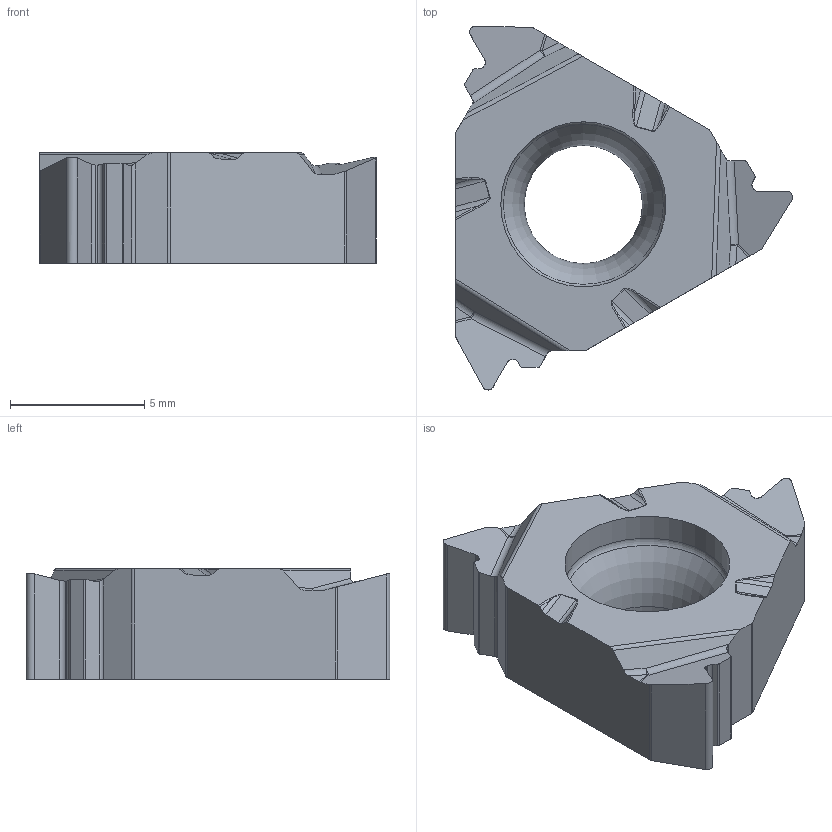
import cadquery as cq
import math

CORNERS = 3
CORNER_STEP = 360 / CORNERS
THICKNESS = 4.11
SIDE_DISTANCE = 4.7625
CONTACT = 0.001
MARGIN = 1.0

HEEL_Y = -4.93
APEX = (-3.56, -7.14)
PROFILE_ANGLE = math.radians(60)
GROOVE_Y = -5.78
CREST_Y = -6.07
CREST_LEFT_X = -2.32
CREST_RIGHT_X = -1.64
SHOULDER_Y = -5.455

TIP_RADIUS = 0.22
GROOVE_RADIUS = 0.2
CREST_RADIUS = 0.08
SHOULDER_RADIUS = 0.15
SIDE_RADIUS = 0.2

HOLE_DIAMETER = 4.4
SEAT_DIAMETER = 6.15
SEAT_ARC_RADIUS = 3.58
SEAT_DEPTH = 3.5
SEAT_BLEND = 0.42

RAKE_ANGLE = 14.5
TIP_DROP = 0.16
BREAKER_FLOOR_DEPTH = 0.82
BREAKER_FLOOR_TILT = 3.5
WALL_SLOPE = 53.0
WALL_TURN = -32.0
WALL_DISTANCE = 4.975
FOOT_FILLET = 0.3
WALL_EDGE_RADIUS = 0.2

NOTCH_DEPTH = 0.24
NOTCH_Y = 0.245
NOTCH_TURN = 15.0
NOTCH_RISE = 11.0
NOTCH_FLOOR_WIDTH = 0.85
NOTCH_WALL_ANGLE = 40.0
NOTCH_FILLET = 0.3
NOTCH_EDGE_RADIUS = 0.1


def turned(point, angle):
    """Rotate a plan point about the part axis."""
    a = math.radians(angle)
    x, y = point
    return (x * math.cos(a) - y * math.sin(a), x * math.sin(a) + y * math.cos(a))


def corner_vertices():
    """Sharp vertices of one corner with the radius wanted at each."""
    lean = 1 / math.tan(PROFILE_ANGLE)
    groove_left_x = APEX[0] + (GROOVE_Y - APEX[1]) * lean
    groove_right_x = CREST_LEFT_X - (GROOVE_Y - CREST_Y) * lean
    shoulder_x = CREST_RIGHT_X + (SHOULDER_Y - CREST_Y) * lean
    next_side = math.radians(180 + CORNER_STEP)
    side_x = (SIDE_DISTANCE - SHOULDER_Y * math.sin(next_side)) / math.cos(next_side)
    return [
        ((-SIDE_DISTANCE, HEEL_Y), SIDE_RADIUS),
        (APEX, TIP_RADIUS),
        ((groove_left_x, GROOVE_Y), GROOVE_RADIUS),
        ((groove_right_x, GROOVE_Y), GROOVE_RADIUS),
        ((CREST_LEFT_X, CREST_Y), CREST_RADIUS),
        ((CREST_RIGHT_X, CREST_Y), CREST_RADIUS),
        ((shoulder_x, SHOULDER_Y), SHOULDER_RADIUS),
        ((side_x, SHOULDER_Y), SIDE_RADIUS),
    ]


def rounded_vertex(before, vertex, after, radius):
    """Start, middle and end of the arc that rounds one vertex."""
    here = cq.Vector(*vertex)
    back = (cq.Vector(*before) - here).normalized()
    ahead = (cq.Vector(*after) - here).normalized()
    half = back.getAngle(ahead) / 2
    reach = radius / math.tan(half)
    centre_gap = radius / math.sin(half)
    inward = (back + ahead).normalized()
    return here + back * reach, here + inward * (centre_gap - radius), here + ahead * reach


def make_body():
    """Prism on the outline of all three corners."""
    vertices = []
    for i in range(CORNERS):
        vertices += [(turned(p, i * CORNER_STEP), r) for p, r in corner_vertices()]
    arcs = []
    for i, (point, radius) in enumerate(vertices):
        before = vertices[i - 1][0]
        after = vertices[(i + 1) % len(vertices)][0]
        arcs.append(rounded_vertex(before, point, after, radius))
    last_end = arcs[-1][2]
    outline = cq.Workplane("XY").moveTo(last_end.x, last_end.y)
    for start, middle, end in arcs:
        outline = outline.lineTo(start.x, start.y)
        outline = outline.threePointArc((middle.x, middle.y), (end.x, end.y))
    return outline.close().extrude(THICKNESS)


def screw_hole():
    """Revolved tool: straight hole, convex flare, blend and upper bore."""
    hole_r = HOLE_DIAMETER / 2
    seat_r = SEAT_DIAMETER / 2
    seat_bottom = THICKNESS - SEAT_DEPTH
    arc_centre_x = hole_r + SEAT_ARC_RADIUS

    def flare_point(angle):
        return (
            arc_centre_x - SEAT_ARC_RADIUS * math.cos(angle),
            seat_bottom + SEAT_ARC_RADIUS * math.sin(angle),
        )

    blend_x = seat_r - SEAT_BLEND
    touch = math.acos((arc_centre_x - blend_x) / (SEAT_ARC_RADIUS + SEAT_BLEND))
    blend_z = seat_bottom + (SEAT_ARC_RADIUS + SEAT_BLEND) * math.sin(touch)
    blend_middle = (
        blend_x + SEAT_BLEND * math.cos(touch / 2),
        blend_z - SEAT_BLEND * math.sin(touch / 2),
    )
    return (
        cq.Workplane("XZ")
        .moveTo(0, -MARGIN)
        .lineTo(hole_r, -MARGIN)
        .lineTo(hole_r, seat_bottom)
        .threePointArc(flare_point(touch / 2), flare_point(touch))
        .threePointArc(blend_middle, (seat_r, blend_z))
        .lineTo(seat_r, THICKNESS + MARGIN)
        .lineTo(0, THICKNESS + MARGIN)
        .close()
        .revolve(360, (0, 0, 0), (0, 1, 0))
    )


def chip_breaker():
    """Tool above the rake face and outside the wall of the -Y corner."""
    reach = 3 * SIDE_DISTANCE
    tip_y = APEX[1] + TIP_RADIUS / math.cos(PROFILE_ANGLE) - TIP_RADIUS
    tip_z = THICKNESS - TIP_DROP
    floor_z = THICKNESS - BREAKER_FLOOR_DEPTH
    rake_slope = math.tan(math.radians(RAKE_ANGLE))
    floor_slope = math.tan(math.radians(BREAKER_FLOOR_TILT))
    above = THICKNESS + MARGIN
    outer_y = tip_y - MARGIN
    over_rake = (
        cq.Workplane("YZ")
        .polyline([
            (outer_y, tip_z + MARGIN * rake_slope),
            (0, tip_z + tip_y * rake_slope),
            (0, above),
            (outer_y, above),
        ])
        .close()
        .extrude(reach, both=True)
    )
    over_floor = (
        cq.Workplane("XZ")
        .polyline([
            (-SIDE_DISTANCE - MARGIN, floor_z + MARGIN * floor_slope),
            (reach, floor_z - (reach + SIDE_DISTANCE) * floor_slope),
            (reach, above),
            (-SIDE_DISTANCE - MARGIN, above),
        ])
        .close()
        .extrude(reach, both=True)
    )
    wall_slope = math.radians(WALL_SLOPE)
    rounding = WALL_EDGE_RADIUS * math.tan(wall_slope / 2)
    rounding_start_x = WALL_DISTANCE - rounding

    def rounding_point(angle):
        return (
            rounding_start_x + WALL_EDGE_RADIUS * math.sin(angle),
            WALL_EDGE_RADIUS * (math.cos(angle) - 1),
        )

    heading = math.radians(WALL_TURN)
    outward = cq.Vector(math.sin(heading), -math.cos(heading), 0)
    along = cq.Vector(0, 0, 1).cross(outward)
    wall_plane = cq.Plane(origin=(0, 0, THICKNESS), xDir=outward, normal=along * -1)
    over_wall = (
        cq.Workplane(wall_plane)
        .moveTo(rounding_start_x, MARGIN)
        .lineTo(rounding_start_x, 0)
        .threePointArc(rounding_point(wall_slope / 2), rounding_point(wall_slope))
        .lineTo(WALL_DISTANCE + THICKNESS / math.tan(wall_slope), -THICKNESS)
        .lineTo(reach, -THICKNESS)
        .lineTo(reach, MARGIN)
        .close()
        .extrude(reach, both=True)
    )
    tool = over_rake.intersect(over_floor).intersect(over_wall)
    meeting_point = tool.vertices("<Z").val()
    foot_edges = [edge for edge in tool.edges().vals() if edge.distance(meeting_point) < CONTACT]
    return tool.newObject(foot_edges).fillet(FOOT_FILLET)


def index_notch():
    """Trapezoid groove across the -X side, rising inward to the top face."""
    half_floor = NOTCH_FLOOR_WIDTH / 2
    tool_height = NOTCH_DEPTH + MARGIN
    half_top = half_floor + tool_height / math.tan(math.radians(NOTCH_WALL_ANGLE))
    turn = math.radians(NOTCH_TURN)
    rise = math.radians(NOTCH_RISE)
    inward = cq.Vector(
        math.cos(turn) * math.cos(rise), math.sin(turn) * math.cos(rise), math.sin(rise)
    )
    across = cq.Vector(-math.sin(turn), math.cos(turn), 0)
    mouth = cq.Vector(-SIDE_DISTANCE, NOTCH_Y, THICKNESS - NOTCH_DEPTH)
    section = cq.Plane(origin=mouth - inward * MARGIN, xDir=across, normal=inward)
    tool = (
        cq.Workplane(section)
        .polyline([
            (-half_floor, 0),
            (half_floor, 0),
            (half_top, tool_height),
            (-half_top, tool_height),
        ])
        .close()
        .extrude(NOTCH_DEPTH / math.sin(rise) + 2 * MARGIN)
    )
    corners = [section.toWorldCoords((x, 0, MARGIN)) for x in (-half_floor, half_floor)]
    for corner in corners:
        tool = tool.edges(cq.selectors.NearestToPointSelector(corner.toTuple())).fillet(NOTCH_FILLET)
    return tool


def cut_notch(body):
    """Cut the notch of the -X side and round its rim on the top face."""
    notched = body.cut(index_notch())
    rim = cq.selectors.BoxSelector(
        (-SIDE_DISTANCE + CONTACT, NOTCH_Y - MARGIN, THICKNESS - CONTACT),
        (-SEAT_DIAMETER / 2, NOTCH_Y + MARGIN, THICKNESS + CONTACT),
    )
    return notched.faces(">Z").edges(rim).fillet(NOTCH_EDGE_RADIUS)


result = make_body().cut(screw_hole())
for _ in range(CORNERS):
    result = cut_notch(result.cut(chip_breaker()))
    result = result.rotate((0, 0, 0), (0, 0, 1), CORNER_STEP)